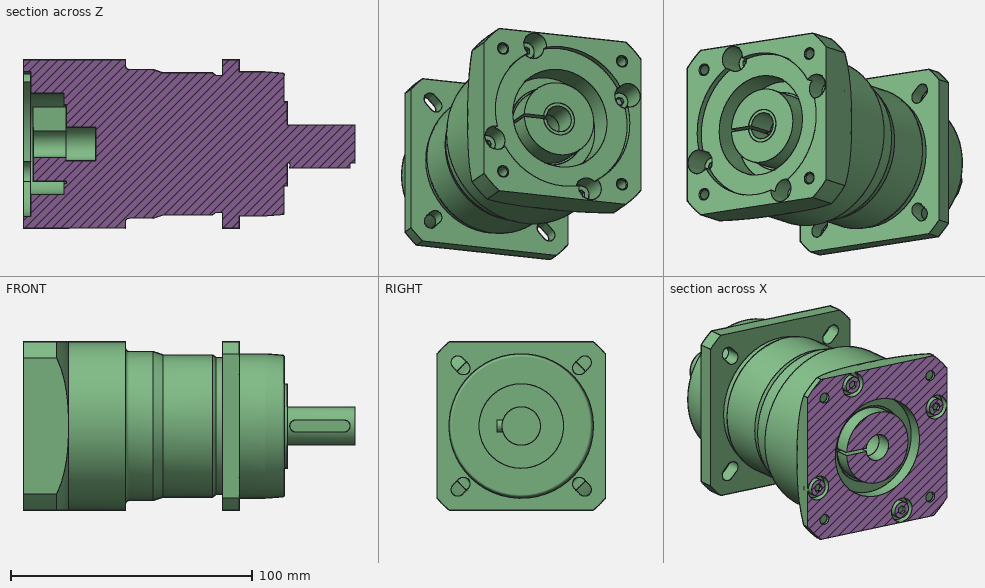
import cadquery as cq
import math

length = 137.5
square_width = 70.0
half_width = square_width / 2

adapter_corner_dia = 89.9
adapter_corner_end = 13.8
adapter_end = 18.7
blend_mid_x = 16.5
blend_mid_radius = 40.7

ring_end = 42.4
ring_root_fillet = 1.5
collar_dia = 61.9
collar_end = 53.8
barrel_dia = 59.1
barrel_start = 57.9
barrel_end = 78.4
neck_dia = 56.9
neck_start = 79.9

flange_corner_dia = 92.0
flange_start = 82.5
flange_end = 89.5
slot_width = 5.5
slot_inner_radius = 34.0
slot_outer_radius = 37.3

pilot_dia = 60.0
taper_start = 100.2
taper_dia = 58.8
pilot_end = 108.2
pilot_round = 0.8
disc_dia = 35.0
disc_end = 109.5
shaft_dia = 16.0

key_start = 110.4
key_length = 25.0
key_width = 5.0
key_top = 10.0

recess_dia = 60.0
recess_depth = 3.0
cavity_dia = 42.0
cavity_end = 16.8
groove_dia = 32.7
groove_depth = 1.0
hub_dia = 31.0
hub_front = 4.0
sleeve_dia = 13.8
sleeve_setback = 0.1
hub_bore_dia = 11.0
rear_bore_end = 30.0
slit_width = 1.2

mount_circle_dia = 75.0
mount_hole_dia = 4.1
mount_hole_depth = 12.0
mount_hole_chamfer = 0.4

screw_circle_dia = 64.0
screw_start_angle = 67.5
pocket_dia = 10.0
pocket_depth = 14.0
head_dia = 7.0
head_height = 4.0
socket_across_flats = 3.0
socket_depth = 2.0


def cylinder(diameter, start, end, y=0.0, z=0.0):
    """Cylinder along X from start to end, centred on (y, z)."""
    return cq.Workplane("YZ", origin=(start, y, z)).circle(diameter / 2).extrude(end - start)


def square_prism(start, end):
    return cq.Workplane("YZ", origin=(start, 0, 0)).rect(square_width, square_width).extrude(end - start)


def ring_points(radius, start_angle):
    """Four (y, z) points spaced evenly around the axis."""
    angles = [math.radians(start_angle + 90 * i) for i in range(4)]
    return [(radius * math.cos(a), radius * math.sin(a)) for a in angles]


def make_adapter():
    corner_radius = adapter_corner_dia / 2
    envelope = (
        cq.Workplane("XY")
        .lineTo(0, corner_radius)
        .lineTo(adapter_corner_end, corner_radius)
        .threePointArc((blend_mid_x, blend_mid_radius), (adapter_end, half_width))
        .lineTo(adapter_end, 0)
        .close()
        .revolve(360, (0, 0, 0), (1, 0, 0))
    )
    return envelope.intersect(square_prism(0, adapter_end))


def make_turned_body():
    collar_radius = collar_dia / 2
    barrel_radius = barrel_dia / 2
    neck_radius = neck_dia / 2
    pilot_radius = pilot_dia / 2
    taper_radius = taper_dia / 2
    disc_radius = disc_dia / 2
    shaft_radius = shaft_dia / 2
    root_mid = ring_root_fillet * (1 - math.sqrt(0.5))
    round_mid = pilot_round * (1 - math.sqrt(0.5))
    return (
        cq.Workplane("XY")
        .moveTo(adapter_end, 0)
        .lineTo(adapter_end, half_width)
        .lineTo(ring_end, half_width)
        .lineTo(ring_end, collar_radius + ring_root_fillet)
        .threePointArc(
            (ring_end + root_mid, collar_radius + root_mid),
            (ring_end + ring_root_fillet, collar_radius),
        )
        .lineTo(collar_end, collar_radius)
        .lineTo(barrel_start, barrel_radius)
        .lineTo(barrel_end, barrel_radius)
        .lineTo(neck_start, neck_radius)
        .lineTo(flange_start, neck_radius)
        .lineTo(flange_start, pilot_radius)
        .lineTo(taper_start, pilot_radius)
        .lineTo(pilot_end - pilot_round, taper_radius)
        .threePointArc(
            (pilot_end - round_mid, taper_radius - round_mid),
            (pilot_end, taper_radius - pilot_round),
        )
        .lineTo(pilot_end, disc_radius)
        .lineTo(disc_end, disc_radius)
        .lineTo(disc_end, shaft_radius)
        .lineTo(length, shaft_radius)
        .lineTo(length, 0)
        .close()
        .revolve(360, (0, 0, 0), (1, 0, 0))
    )


def make_flange():
    disc = cylinder(flange_corner_dia, flange_start, flange_end)
    flange = disc.intersect(square_prism(flange_start, flange_end))
    slot_centre_radius = (slot_inner_radius + slot_outer_radius) / 2
    slot_length = slot_outer_radius - slot_inner_radius + slot_width
    slot = (
        cq.Workplane("YZ", origin=(flange_start, 0, 0))
        .center(slot_centre_radius, 0)
        .slot2D(slot_length, slot_width)
        .extrude(flange_end - flange_start)
    )
    for i in range(4):
        flange = flange.cut(slot.rotate((0, 0, 0), (1, 0, 0), 45 + 90 * i))
    return flange


def make_key():
    return (
        cq.Workplane("XZ")
        .center(key_start + key_length / 2, 0)
        .slot2D(key_length, key_width)
        .extrude(key_top)
    )


def cut_motor_cavity(body):
    groove_end = cavity_end + groove_depth
    body = body.cut(cylinder(recess_dia, 0, recess_depth))
    body = body.cut(cylinder(cavity_dia, 0, cavity_end))
    return body.cut(cylinder(groove_dia, cavity_end, groove_end))


def add_clamping_hub(body):
    hub_end = cavity_end + groove_depth
    body = body.union(cylinder(hub_dia, hub_front, hub_end))
    body = body.cut(cylinder(hub_bore_dia, hub_front, hub_end))
    body = body.cut(cylinder(sleeve_dia, hub_front, hub_front + sleeve_setback))
    body = body.cut(cylinder(sleeve_dia, hub_end, rear_bore_end))
    slit_length = hub_end - hub_front
    slit = cq.Workplane("XY").box(slit_length, hub_dia / 2, slit_width, centered=(False, False, True))
    return body.cut(slit.translate((hub_front, 0, 0)))


def cut_mounting_holes(body):
    for y, z in ring_points(mount_circle_dia / 2, 45):
        body = body.cut(cylinder(mount_hole_dia, 0, mount_hole_depth, y, z))
        countersink = (
            cq.Workplane("YZ", origin=(0, y, z))
            .circle(mount_hole_dia / 2 + mount_hole_chamfer)
            .workplane(offset=mount_hole_chamfer)
            .circle(mount_hole_dia / 2)
            .loft()
        )
        body = body.cut(countersink)
    return body


def add_sunk_screws(body):
    head_front = pocket_depth - head_height
    socket_across_corners = socket_across_flats / math.cos(math.radians(30))
    for i, (y, z) in enumerate(ring_points(screw_circle_dia / 2, screw_start_angle)):
        socket = (
            cq.Workplane("YZ")
            .polygon(6, socket_across_corners)
            .extrude(socket_depth)
            .rotate((0, 0, 0), (1, 0, 0), 90 * (i + 1))
            .translate((head_front, y, z))
        )
        head = cylinder(head_dia, head_front, pocket_depth, y, z).cut(socket)
        body = body.cut(cylinder(pocket_dia, 0, pocket_depth, y, z)).union(head)
    return body


result = make_turned_body().union(make_adapter()).union(make_flange()).union(make_key())
result = cut_motor_cavity(result)
result = add_clamping_hub(result)
result = cut_mounting_holes(result)
result = add_sunk_screws(result)